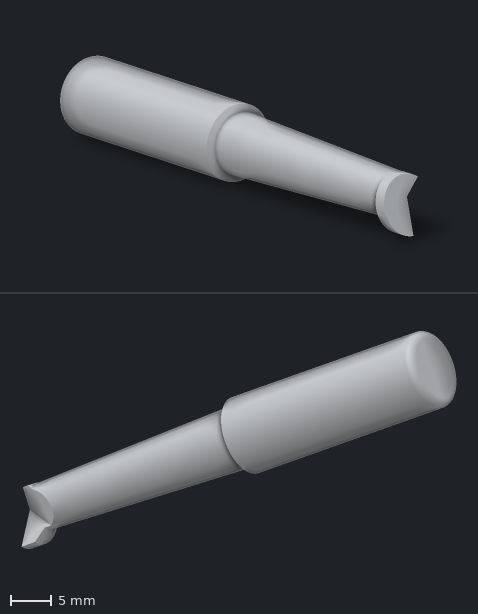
import cadquery as cq
import math

total_length = 64.0
shank_radius = 5.0
shank_length = 30.0
shank_end_round = 1.0

shoulder_length = 0.6
neck_start_radius = 4.0
neck_end_radius = 3.0
neck_length = 30.4

head_radius = 3.8
head_drop = head_radius - neck_end_radius
head_bottom = -head_drop - head_radius
face_angle = 15.0

pocket_roof_start = 62.45
pocket_roof_side_slope = 1.2

neck_end = shank_length + neck_length


def make_bar():
    """Shank, shoulder and neck turned about the X axis."""
    profile = (
        cq.Workplane("XY")
        .lineTo(0, shank_radius)
        .lineTo(shank_length - shoulder_length, shank_radius)
        .lineTo(shank_length, neck_start_radius)
        .lineTo(neck_end, neck_end_radius)
        .lineTo(neck_end, 0)
        .close()
    )
    bar = profile.revolve(360, (0, 0, 0), (1, 0, 0))
    return bar.faces("<X").edges().fillet(shank_end_round)


def make_head():
    """Eccentric cylinder with a 45 degree cone behind it and a slanted front face."""
    length = total_length - neck_end
    cylinder = (
        cq.Workplane("YZ", origin=(neck_end, 0, -head_drop))
        .circle(head_radius)
        .extrude(length)
    )
    back_cone = (
        cq.Workplane("XY", origin=(neck_end, 0, 0))
        .lineTo(0, neck_end_radius)
        .lineTo(length, neck_end_radius + length)
        .lineTo(length, 0)
        .close()
        .revolve(360, (0, 0, 0), (1, 0, 0))
    )
    head_top = neck_end_radius
    face_setback = (head_top - head_bottom) * math.tan(math.radians(face_angle))
    front_waste = (
        cq.Workplane("XZ")
        .moveTo(total_length, head_bottom)
        .lineTo(total_length - face_setback, head_top)
        .lineTo(total_length, head_top)
        .close()
        .extrude(head_radius, both=True)
    )
    return cylinder.intersect(back_cone).cut(front_waste)


def pocket_section(y):
    """Triangle below the 45 degree pocket roof at distance y from the wall."""
    roof_start = pocket_roof_start - pocket_roof_side_slope * y
    floor = -2 * shank_radius
    end = total_length + shank_radius
    return [
        cq.Vector(roof_start + floor, y, floor),
        cq.Vector(end, y, floor),
        cq.Vector(end, y, end - roof_start),
    ]


def make_pocket():
    """Clearance on the +Y side, with its roof rising toward the tip and outward."""
    wires = [
        cq.Wire.makePolygon(pocket_section(y), close=True)
        for y in (0, shank_radius)
    ]
    return cq.Workplane(cq.Solid.makeLoft(wires, True))


result = make_bar().union(make_head()).cut(make_pocket())